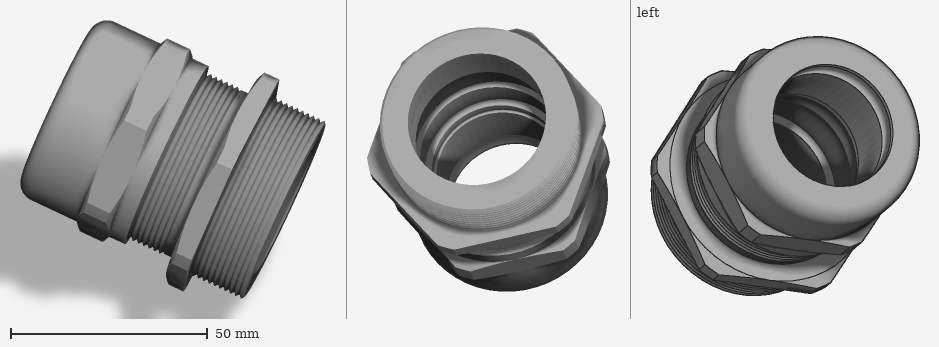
import cadquery as cq
import math


face_centre = (-29.0, -12.1, 10.1)
axis_heading = 22.2
axis_dip = 17.8
hex_turn = 7.9

cap_dia = 50.0
cap_length = 31.0
cap_round = 4.7
lip_mouth_dia = 32.6
lip_dia = 32.3
lip_bevel_end = 0.5
lip_end = 1.25
cap_chamber_dia = 40.2
cap_cone_end = 7.2
cap_hex_start = 17.65
cap_hex_end = 26.5
cap_hex_corner_dia = 55.5
cap_hex_chamfer = 1.25

seal_start = 7.3
seal_end = 24.05
seal_bore_dia = lip_dia
seal_dia = 39.5

insert_end = 36.3
insert_mouth_end = 27.3
insert_mouth_dia = 33.8
insert_bore_dia = 37.25

body_bore_dia = 40.2
body_bore_end = 50.2
body_hole_dia = 35.45
body_end = 64.1
neck_dia = 46.0
flange_start = 43.8
flange_end = 49.2
flange_across_flats = 55.0
flange_corner_dia = 61.1
flange_chamfer = 1.2

thread_pitch = 1.5
thread_depth = 0.9
cap_thread_dia = 46.85
cap_thread_last_crest = 40.0
cap_thread_ridges = 14
entry_thread_dia = 50.0
entry_thread_last_crest = 63.6
entry_thread_ridges = 10


def revolved(profile):
    """Solid of revolution about Z from (radius, height) points."""
    return cq.Workplane("XZ").polyline(profile).close().revolve(360, (0, 0, 0), (0, 1, 0))


def disc(dia, bottom, top):
    """Cylinder on the axis between two heights."""
    return cq.Workplane("XY").workplane(offset=bottom).circle(dia / 2).extrude(top - bottom)


def hexagon(across_flats, bottom, top):
    """Hexagonal prism with a corner at the hex_turn angle."""
    prism = cq.Workplane("XY").polygon(6, across_flats / math.cos(math.pi / 6)).extrude(top - bottom)
    return prism.rotate((0, 0, 0), (0, 0, 1), hex_turn).translate((0, 0, bottom))


def thread_points(crest_dia, last_crest, ridges):
    """Zigzag of crests and roots, from the root before the first crest to the last crest."""
    crest = crest_dia / 2
    root = crest - thread_depth
    points = []
    for i in range(ridges):
        height = last_crest - (ridges - 1 - i) * thread_pitch
        points.append((root, height - thread_pitch / 2))
        points.append((crest, height))
    return points


def make_cap():
    outer = disc(cap_dia, 0, cap_length).faces("<Z").edges().fillet(cap_round)
    corner = cap_hex_corner_dia / 2
    hex_limit = revolved(
        [
            (0, cap_hex_start),
            (cap_dia / 2, cap_hex_start),
            (corner, cap_hex_start + cap_hex_chamfer),
            (corner, cap_hex_end - cap_hex_chamfer),
            (cap_dia / 2, cap_hex_end),
            (0, cap_hex_end),
        ]
    )
    outer = outer.union(hexagon(cap_dia, cap_hex_start, cap_hex_end).intersect(hex_limit))
    cavity = revolved(
        [
            (0, 0),
            (lip_mouth_dia / 2, 0),
            (lip_dia / 2, lip_bevel_end),
            (lip_dia / 2, lip_end),
            (cap_chamber_dia / 2, cap_cone_end),
            (cap_chamber_dia / 2, body_start),
            (cap_thread_dia / 2, body_start),
            (cap_thread_dia / 2, cap_length),
            (0, cap_length),
        ]
    )
    return outer.cut(cavity)


def make_seal():
    return disc(seal_dia, seal_start, seal_end).cut(disc(seal_bore_dia, seal_start, seal_end))


def make_insert():
    ring = disc(body_bore_dia, seal_end, insert_end)
    ring = ring.cut(disc(insert_mouth_dia, seal_end, insert_mouth_end))
    return ring.cut(disc(insert_bore_dia, insert_mouth_end, insert_end))


def make_body():
    neck = neck_dia / 2
    cap_root = cap_thread_dia / 2 - thread_depth
    entry_root = entry_thread_dia / 2 - thread_depth
    flank_slope = thread_depth / (thread_pitch / 2)
    cap_root_end = cap_thread_last_crest + thread_pitch / 2
    end_radius = entry_thread_dia / 2 - (body_end - entry_thread_last_crest) * flank_slope
    outline = [(body_hole_dia / 2, body_start)]
    outline += thread_points(cap_thread_dia, cap_thread_last_crest, cap_thread_ridges)
    outline += [
        (cap_root, cap_root_end),
        (neck, cap_root_end + (neck - cap_root) / flank_slope),
        (neck, flange_end),
        (entry_root, flange_end),
    ]
    outline += thread_points(entry_thread_dia, entry_thread_last_crest, entry_thread_ridges)
    outline += [(end_radius, body_end), (body_hole_dia / 2, body_end)]
    body = revolved(outline)

    corner = flange_corner_dia / 2
    flange_limit = revolved(
        [
            (0, flange_start),
            (flange_across_flats / 2, flange_start),
            (corner, flange_start + flange_chamfer),
            (corner, flange_end),
            (0, flange_end),
        ]
    )
    flange = hexagon(flange_across_flats, flange_start, flange_end).intersect(flange_limit)
    flange = flange.cut(disc(body_hole_dia, flange_start, flange_end))
    return body.union(flange).cut(disc(body_bore_dia, body_start, body_bore_end))


body_start = cap_thread_last_crest - (cap_thread_ridges - 0.5) * thread_pitch

heading = math.radians(axis_heading)
dip = math.radians(axis_dip)
axis = (math.cos(dip) * math.cos(heading), math.cos(dip) * math.sin(heading), -math.sin(dip))
level = (-math.sin(heading), math.cos(heading), 0)
pose = cq.Location(cq.Plane(origin=face_centre, xDir=level, normal=axis))

cap = make_cap()
seal = make_seal()
insert = make_insert()
body = make_body()

result = cq.Compound.makeCompound([part.val().located(pose) for part in (cap, seal, insert, body)])